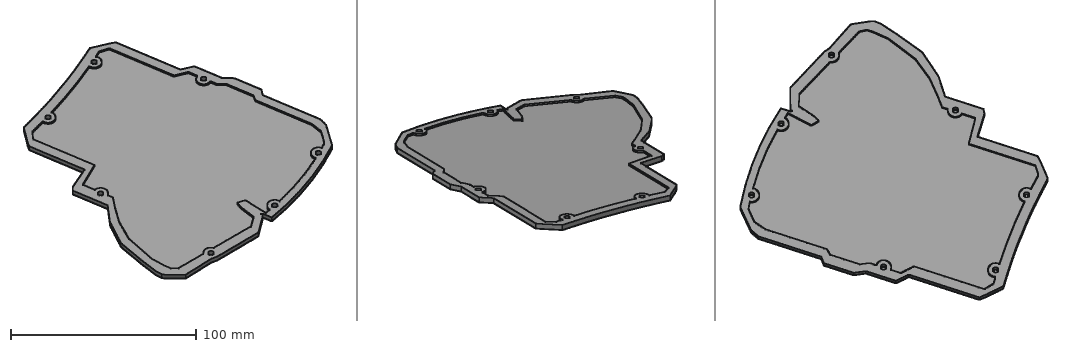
import cadquery as cq

length = 153.0
width = 148.2
thickness = 3.0
recess_depth = 1.0

hole_diameter = 3.0
pad_radius = 4.1

wing_axis_y = 93.0
wing_half_width = 45.9
wing_inner_half_width = 40.3

bow_axis_y = 99.3
bow_end_x = 150.2
bow_half_width = 32.0
bow_inner_x = 148.6

upper_edge_y = 145.0
upper_inner_y = 139.6
tab_inner_y = 142.2

lower_edge_y = 30.2
lower_inner_y = 36.7


def outer_outline():
    """Closed outline of the plate, clockwise from the lower left corner."""
    wing_top = wing_axis_y + wing_half_width
    wing_bottom = wing_axis_y - wing_half_width
    end_facets = [(35.0, 0), (25.7, 0.8), (16.5, 1.4), (9.0, 1.7)]
    knee_x = 7.2
    knee_half_width = 43.3
    chamfer_x = 9.8
    bow_top = (bow_end_x, bow_axis_y + bow_half_width)
    bow_bottom = (bow_end_x, bow_axis_y - bow_half_width)

    lower_end = [(depth, wing_axis_y - distance) for distance, depth in end_facets]
    upper_end = [(depth, wing_axis_y + distance) for distance, depth in reversed(end_facets)]
    outline = cq.Workplane("XY").polyline(lower_end + upper_end)
    for point in [
        (knee_x, wing_axis_y + knee_half_width),
        (chamfer_x, wing_top),
        (50.4, wing_top),
        (55.5, upper_edge_y),
        (72.9, upper_edge_y),
        (78.7, width),
        (95.8, width),
        (98.6, upper_edge_y),
        (134.7, upper_edge_y),
        (139.6, 142.8),
        bow_top,
    ]:
        outline = outline.lineTo(*point)
    outline = outline.threePointArc((length, bow_axis_y), bow_bottom)
    for point in [
        (144.5, bow_bottom[1]),
        (143.7, 66.7),
        (145.1, 66.3),
        (149.7, 53.9),
        (139.9, 26.6),
        (138.0, 23.9),
        (132.3, 6.1),
        (122.3, 0.5),
        (121.0, 0),
        (117.1, 0.3),
        (106.7, 3.4),
        (92.1, 8.3),
        (89.9, 9.2),
        (76.7, 19.9),
        (69.2, lower_edge_y),
        (47.1, lower_edge_y),
        (45.8, 32.5),
        (44.5, wing_bottom),
        (chamfer_x, wing_bottom),
        (knee_x, wing_axis_y - knee_half_width),
    ]:
        outline = outline.lineTo(*point)
    return outline.close()


def recess_outline():
    """Closed outline of the recess inside the rim, clockwise from the lower left corner."""
    wing_top = wing_axis_y + wing_inner_half_width
    wing_bottom = wing_axis_y - wing_inner_half_width
    end_x = 5.5
    end_half_width = 35.4
    chamfer_x = 9.0

    outline = cq.Workplane("XY", origin=(0, 0, thickness)).moveTo(end_x, wing_axis_y - end_half_width)
    outline = outline.threePointArc((7.5, wing_axis_y), (end_x, wing_axis_y + end_half_width))
    for point in [
        (chamfer_x, wing_top),
        (49.6, wing_top),
        (55.0, upper_inner_y),
        (72.5, upper_inner_y),
        (77.5, tab_inner_y),
        (94.3, tab_inner_y),
        (97.0, upper_inner_y),
        (132.5, upper_inner_y),
        (139.8, 137.3),
        (145.5, 130.9),
    ]:
        outline = outline.lineTo(*point)
    outline = outline.threePointArc((bow_inner_x, bow_axis_y), (145.5, 68.7))
    for point in [
        (131.2, 71.3),
        (128.3, 67.5),
        (131.6, 65.7),
        (141.5, 62.8),
        (143.9, 55.7),
        (126.5, 8.5),
        (122.9, 6.3),
        (119.4, 6.3),
        (110.2, 7.3),
        (92.1, 14.1),
        (81.0, 22.5),
        (73.2, 31.0),
        (68.5, lower_inner_y),
        (49.5, lower_inner_y),
        (47.5, wing_bottom),
        (chamfer_x, wing_bottom),
    ]:
        outline = outline.lineTo(*point)
    return outline.close()


hole_centers = [
    (7.3, 71.3),
    (7.3, 120.2),
    (64.7, 139.3),
    (146.8, 122.5),
    (146.8, 76.0),
    (135.6, 27.4),
    (61.2, 36.0),
]


def discs_at_holes(radius):
    """Full-height cylinders at every screw hole."""
    return cq.Workplane("XY").pushPoints(hole_centers).circle(radius).extrude(thickness)


plate = outer_outline().extrude(thickness)
recess = recess_outline().extrude(-recess_depth).cut(discs_at_holes(pad_radius))
result = plate.cut(recess).cut(discs_at_holes(hole_diameter / 2))